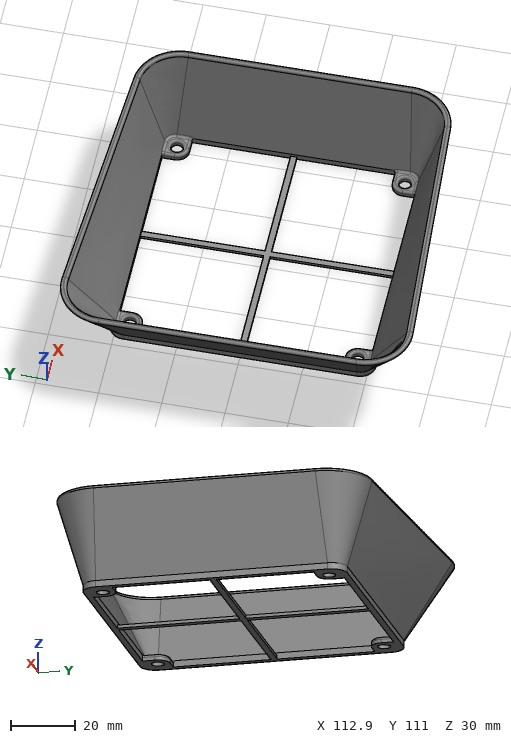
import cadquery as cq
import math

height = 30.0
wall = 2.0
base_height = wall
edge_rounding = 0.9
rim_height = wall / 2

opening_side = 79.9
opening_corner = 3.0
base_side = opening_side + 2 * wall
base_corner = opening_corner + wall

mouth_left = -61.3
mouth_length = 112.9
mouth_right = mouth_left + mouth_length
mouth_width = 111.0
mouth_corner = 14.8
mouth_taper = math.radians(3.7)

boss_radius = 4.0
boss_offset = opening_side / 2 - boss_radius
hole_diameter = 4.0
bar_width = wall
bar_height = wall / 2


def corner_arc_outline(corners, radius, z):
    """Closed outline through (centre, start angle, end angle) corners, listed counter-clockwise."""

    def on_arc(corner, share):
        (x, y), start, end = corner
        angle = start + share * (end - start)
        return x + radius * math.cos(angle), y + radius * math.sin(angle)

    outline = cq.Workplane("XY", origin=(0, 0, z)).moveTo(*on_arc(corners[0], 0))
    for index, corner in enumerate(corners):
        if index:
            outline = outline.lineTo(*on_arc(corner, 0))
        outline = outline.threePointArc(on_arc(corner, 0.5), on_arc(corner, 1))
    return outline.close().wire().val()


def square_outline(side, radius, z):
    """Rounded square of the flange at height z."""
    reach = side / 2 - radius
    quarter = math.pi / 2
    signs = [(1, 1), (-1, 1), (-1, -1), (1, -1)]
    corners = [
        ((sx * reach, sy * reach), turn * quarter, (turn + 1) * quarter)
        for turn, (sx, sy) in enumerate(signs)
    ]
    return corner_arc_outline(corners, radius, z)


def mouth_outline(inset, z):
    """Tapered mouth outline at height z, moved inward by inset."""
    left = mouth_left + mouth_corner
    right = mouth_right - mouth_corner
    left_y = mouth_width / 2 - mouth_corner
    right_y = left_y - (right - left) * math.tan(mouth_taper)
    side_angle = math.pi / 2 - mouth_taper
    corners = [
        ((right, right_y), 0, side_angle),
        ((left, left_y), side_angle, math.pi),
        ((left, -left_y), math.pi, 2 * math.pi - side_angle),
        ((right, -right_y), 2 * math.pi - side_angle, 2 * math.pi),
    ]
    return corner_arc_outline(corners, mouth_corner - inset, z)


def prism(outline, depth):
    return cq.Workplane(cq.Solid.extrudeLinear(outline, [], cq.Vector(0, 0, depth)))


def flare(bottom, top):
    return cq.Workplane(cq.Solid.makeLoft([bottom, top], True))


def shell():
    """Vertical flange wall, flared wall and rounded rim as one ring."""
    rim_z = height - rim_height
    base_outer = square_outline(base_side, base_corner, 0)
    base_inner = square_outline(opening_side, opening_corner, 0)
    base = prism(base_outer, base_height).cut(prism(base_inner, base_height))

    flare_outer = flare(square_outline(base_side, base_corner, base_height), mouth_outline(0, rim_z))
    flare_inner = flare(square_outline(opening_side, opening_corner, base_height), mouth_outline(wall, rim_z))

    rim = prism(mouth_outline(0, rim_z), rim_height).cut(prism(mouth_outline(wall, rim_z), rim_height))
    rim = rim.faces(">Z").edges().fillet(edge_rounding)
    return flare_outer.cut(flare_inner).union(base).union(rim)


def corner_boss(side_x, side_y):
    """Boss in one corner: free corner rounded, back corner sunk half-way into the flange wall."""
    inner_end = boss_offset - boss_radius
    outer_end = opening_side / 2 + wall / 2
    length = outer_end - inner_end
    block = (
        cq.Workplane("XY")
        .box(length, length, base_height, centered=False)
        .edges("|Z and <X and <Y")
        .fillet(boss_radius)
        .translate((inner_end, inner_end, 0))
    )
    flange = square_outline(base_side - wall, opening_corner + wall / 2, 0)
    boss = block.intersect(prism(flange, base_height))
    hole = cq.Workplane("XY").center(boss_offset, boss_offset).circle(hole_diameter / 2).extrude(base_height)
    boss = boss.cut(hole)
    if side_x < 0:
        boss = boss.mirror("YZ")
    if side_y < 0:
        boss = boss.mirror("XZ")
    return boss


def round_boss_top(part, side_x, side_y):
    """Round the hole mouth, the free edges and the foot of the flared wall around one boss."""
    centre = (side_x * boss_offset, side_y * boss_offset, base_height)
    top = part.faces(cq.selectors.NearestToPointSelector(centre))
    return top.edges().fillet(edge_rounding)


def cross_bars():
    """Two thin bars crossing in the middle of the opening."""
    bar = cq.Workplane("XY").box(base_side - wall, bar_width, bar_height, centered=(True, True, False))
    return bar.union(bar.rotate((0, 0, 0), (0, 0, 1), 90))


result = shell()
corner_sides = [(side_x, side_y) for side_x in (1, -1) for side_y in (1, -1)]
for sides in corner_sides:
    result = result.union(corner_boss(*sides))
for sides in corner_sides:
    result = round_boss_top(result, *sides)
result = result.union(cross_bars())